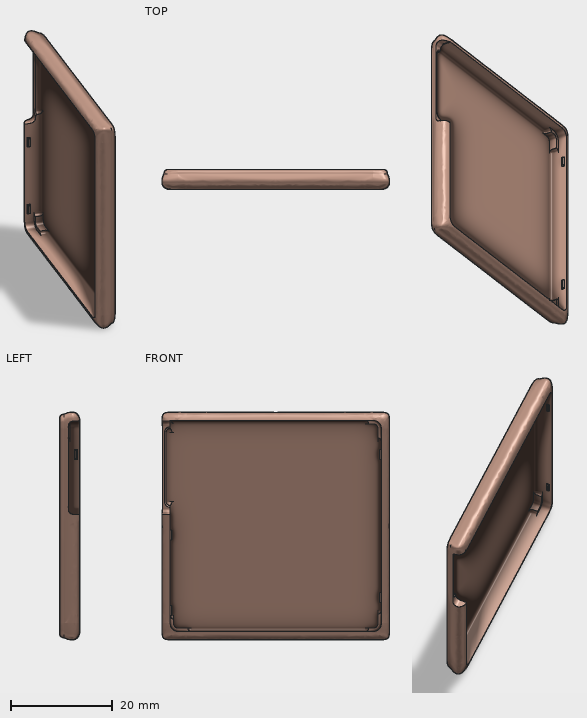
import cadquery as cq
import math

SIZE = 44.8
HALF = SIZE / 2
THICKNESS = 4.0

CORNER_REACH = 3.25
BULGE_DEPTH = 1.5
FRONT_INSET = 1.7
SEAM_DEPTH = 3.1
SEAM_INSET = 0.4
BLEND_STEPS = 4
BACK_INSET = 1.2
BULGE_EASE = (0.16, 0.0)
FRONT_EASE = (0.586, 0.224)

WALL = 1.65
FLOOR_DEPTH = 3.65
FLOOR_ROUND = 0.65
FLOOR_INSET = WALL + FLOOR_ROUND
CAVITY_CORNER = CORNER_REACH - WALL
POST_DEPTH = 1.95
POST_CORNER = CORNER_REACH - FLOOR_INSET
SHORT_POST = 4.8
LONG_POST = 5.8

OPENING_TOP = 1.8
OPENING_BOTTOM = 20.12
OPENING_DEPTH = 2.3
OPENING_ROUND = 1.05
RECESS_TOP = 4.05
RECESS_BOTTOM = 17.6
RECESS_ROUND = 0.8
RECESS_FLARE = 0.3
FLARE_HEIGHT = 0.22

RIDGE_LENGTH = 1.95
RIDGE_WIDTH = 0.6
RIDGE_HEIGHT = 0.4
RIDGE_BEVEL = 0.2
RIDGE_DEPTH = 0.8
RIGHT_RIDGE_OFFSET = 8.4
LEFT_RIDGE_LOW = 5.8
LEFT_RIDGE_HIGH = 20.6


def at_depth(depth):
    """Plane across the tray at a depth; local x is X and local y is Z."""
    return cq.Workplane("XZ", origin=(0, depth, 0))


def block(x_range, depth_range, z_range):
    """Box between pairs of limits."""
    low = [min(pair) for pair in (x_range, depth_range, z_range)]
    size = [abs(pair[1] - pair[0]) for pair in (x_range, depth_range, z_range)]
    return cq.Workplane("XY").box(*size, centered=False).translate(tuple(low))


def square_block(inset, front, back):
    """Square box set in from the outer sides, between two depths."""
    side = HALF - inset
    return block((-side, side), (front, back), (-side, side))


def outline(depth, inset):
    """Square outline whose tight corners blend into the sides over CORNER_REACH."""
    side = HALF - inset
    straight = HALF - CORNER_REACH
    reach = side - straight
    softness = inset / FRONT_INSET
    arm, middle = [
        reach * (tight + softness * (soft - tight)) for tight, soft in zip(BULGE_EASE, FRONT_EASE)
    ]
    wire = at_depth(depth).moveTo(-straight, -side)
    for turn in range(4):
        cos, sin = round(math.cos(turn * math.pi / 2)), round(math.sin(turn * math.pi / 2))

        def turned(x, z):
            return (x * cos - z * sin, x * sin + z * cos)

        wire = wire.lineTo(*turned(straight, -side))
        corner_curve = [
            turned(side - arm, -side),
            turned(side - middle, middle - side),
            turned(side, arm - side),
            turned(side, -straight),
        ]
        wire = wire.bezier(corner_curve, includeCurrent=True)
    return wire.close().val()


def quarter_ellipse(count):
    """Evenly turned (along, drop) pairs on a unit quarter circle, from its widest point to its end."""
    angles = [step * math.pi / 2 / count for step in range(count + 1)]
    return [(math.sin(angle), 1 - math.cos(angle)) for angle in angles]


def outer_body():
    """Bulging side with an elliptical front round, joined at the seam to an elliptical back round."""
    sections = [
        outline(BULGE_DEPTH * (1 - along), FRONT_INSET * drop) for along, drop in reversed(quarter_ellipse(6))
    ]
    for step in range(1, BLEND_STEPS + 1):
        part_way = step / BLEND_STEPS
        depth = BULGE_DEPTH + (SEAM_DEPTH - BULGE_DEPTH) * part_way
        sections.append(outline(depth, SEAM_INSET * part_way**2))
    bulge = cq.Workplane(cq.Solid.makeLoft(sections))

    back_height = THICKNESS - SEAM_DEPTH
    back_drop = BACK_INSET - SEAM_INSET
    back_sections = [
        outline(SEAM_DEPTH + back_height * along, SEAM_INSET + back_drop * drop)
        for along, drop in quarter_ellipse(5)
    ]
    return bulge.union(cq.Workplane(cq.Solid.makeLoft(back_sections)))


def recess_profile(radius, mouth_depth, flare):
    """Half section of a round-floored pit about the line X = 0, with a bevelled mouth if flared."""
    profile = cq.Workplane("XY").moveTo(0, mouth_depth).lineTo(radius + flare, mouth_depth)
    if flare:
        profile = profile.lineTo(radius, mouth_depth + FLARE_HEIGHT)
    profile = profile.lineTo(radius, FLOOR_DEPTH - radius)
    return profile.radiusArc((0, FLOOR_DEPTH), -radius).close()


def round_pit(x, z, radius, mouth_depth, flare=0.0):
    """Half section turned about a line along Y."""
    profile = recess_profile(radius, mouth_depth, flare)
    return profile.revolve(360, (0, 0, 0), (0, 1, 0)).translate((x, 0, z))


def corner_post(x_side, z_side, x_length, z_length):
    """L-shaped post in a cavity corner, with hollowed round ends."""
    wall = HALF - WALL
    floor_edge = HALF - FLOOR_INSET
    x_end = x_side * (HALF - x_length)
    z_end = z_side * (HALF - z_length)
    post = block((x_end, x_side * wall), (POST_DEPTH, FLOOR_DEPTH), (z_end, z_side * wall))
    floor_area = square_block(FLOOR_INSET, 0, THICKNESS).edges("|Y").fillet(POST_CORNER)
    post = post.cut(floor_area)
    post = post.cut(round_pit(x_end, z_side * floor_edge, FLOOR_ROUND, 0))
    return post.cut(round_pit(x_side * floor_edge, z_end, FLOOR_ROUND, 0))


def cavity():
    upper = square_block(WALL, 0, POST_DEPTH).edges("|Y and (>X or <Z)").fillet(CAVITY_CORNER)
    lower = square_block(WALL, POST_DEPTH, FLOOR_DEPTH).faces(">Y").edges().fillet(FLOOR_ROUND)
    lower = lower.cut(corner_post(1, 1, SHORT_POST, LONG_POST))
    lower = lower.cut(corner_post(1, -1, SHORT_POST, LONG_POST))
    lower = lower.cut(corner_post(-1, -1, LONG_POST, SHORT_POST))
    return upper.union(lower)


def side_opening():
    """Notch through the -X wall with rounded inner corners."""
    notch = block(
        (-SIZE, FLOOR_INSET - HALF),
        (0, OPENING_DEPTH),
        (HALF - OPENING_BOTTOM, HALF - OPENING_TOP),
    )
    return notch.edges("|X and >Y").fillet(OPENING_ROUND)


def opening_recess():
    """Rounded channel that widens the floor under the side opening."""
    wall_x = WALL - HALF
    top = HALF - RECESS_TOP
    bottom = HALF - RECESS_BOTTOM
    profile = recess_profile(RECESS_ROUND, OPENING_DEPTH, RECESS_FLARE)
    channel = profile.extrude(top - bottom).mirror("YZ").translate((wall_x, 0, bottom))
    channel = channel.union(block((wall_x, FLOOR_INSET - HALF), (OPENING_DEPTH, FLOOR_DEPTH), (bottom, top)))
    for z in (top, bottom):
        channel = channel.union(round_pit(wall_x, z, RECESS_ROUND, OPENING_DEPTH, RECESS_FLARE))
    return channel


def ridge(x_side, z):
    """Bevelled snap ridge standing on the inner face of a side wall."""
    wall_x = x_side * (HALF - WALL)
    bar = block(
        (wall_x + x_side * RIDGE_HEIGHT, wall_x - x_side * RIDGE_HEIGHT),
        (RIDGE_DEPTH - RIDGE_WIDTH / 2, RIDGE_DEPTH + RIDGE_WIDTH / 2),
        (z - RIDGE_LENGTH / 2, z + RIDGE_LENGTH / 2),
    )
    return bar.faces("<X" if x_side > 0 else ">X").chamfer(RIDGE_BEVEL)


result = outer_body().cut(cavity()).cut(side_opening()).cut(opening_recess())
for side in (1, -1):
    result = result.union(ridge(1, side * (HALF - RIGHT_RIDGE_OFFSET)))
for height in (LEFT_RIDGE_LOW, LEFT_RIDGE_HIGH):
    result = result.union(ridge(-1, height - HALF))